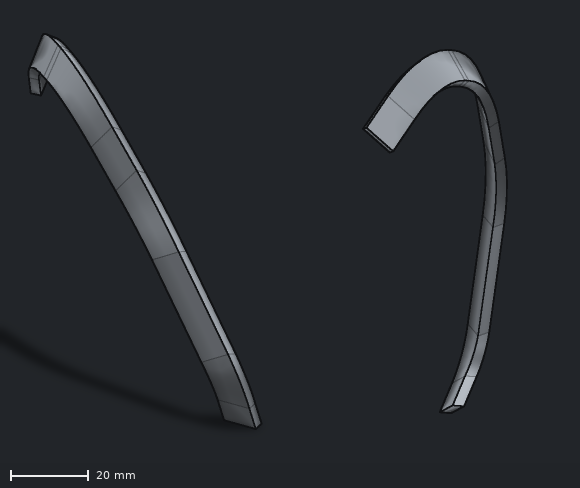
import cadquery as cq
import math


STRAP_WIDTH = 9.3
STRAP_THICKNESS = 3.2
PATH_DEPTH = 2.0

PATH_CORNERS = [
    cq.Vector(89.5, 8.1, 0),
    cq.Vector(89.45, 1.8, 14.8),
    cq.Vector(64.5, 4.8, 55.8),
    cq.Vector(34.1, 21.6, 77.0),
    cq.Vector(9.6, 45.6, 71.3),
    cq.Vector(2.0, 62.2, 49.2),
]
FOOT_BEND_RADIUS = 20.0
MAIN_BEND_RADIUS = 2 * FOOT_BEND_RADIUS
BEND_RADII = [FOOT_BEND_RADIUS] + 3 * [MAIN_BEND_RADIUS]
BEND_ROLLS = [4.2, 2.2, 1.4, 3.2]


def rotated(vector, axis, angle):
    """Turn a vector about an axis through the origin by an angle in radians."""
    unit = axis.normalized()
    along = unit * unit.dot(vector)
    across = vector - along
    return along + across * math.cos(angle) + unit.cross(vector) * math.sin(angle)


def section(center, offsets):
    return [center + offset for offset in offsets]


def bend_sections(corner, incoming, outgoing, radius, roll, offsets):
    """Return the start, middle and end sections of a bend, and the turned offsets."""
    axis = incoming.cross(outgoing).normalized()
    turn = incoming.getAngle(outgoing)
    setback = radius * math.tan(turn / 2)
    start = corner - incoming * setback
    bend_center = start + axis.cross(incoming) * radius

    sections = []
    for part in (0, 0.5, 1):
        center = bend_center + rotated(start - bend_center, axis, part * turn)
        direction = rotated(incoming, axis, part * turn)
        turned = [
            rotated(rotated(offset, axis, part * turn), direction, part * roll)
            for offset in offsets
        ]
        sections.append(section(center, turned))
    return sections, turned


def straight_edges(start, end):
    return [cq.Edge.makeLine(a, b) for a, b in zip(start, end)]


def bend_edges(start, middle, end):
    return [cq.Edge.makeThreePointArc(a, m, b) for a, m, b in zip(start, middle, end)]


def side_faces(long_edges):
    """Span ruled faces between neighbouring lengthwise edges."""
    neighbours = long_edges[1:] + long_edges[:1]
    return [cq.Face.makeRuledSurface(a, b) for a, b in zip(long_edges, neighbours)]


def end_face(corners):
    return cq.Face.makeFromWires(cq.Wire.makePolygon(corners, close=True))


def build_strap():
    directions = [(b - a).normalized() for a, b in zip(PATH_CORNERS, PATH_CORNERS[1:])]
    half_width = STRAP_WIDTH / 2
    outer_y = -PATH_DEPTH
    inner_y = outer_y + STRAP_THICKNESS
    offsets = [
        cq.Vector(-half_width, outer_y, 0),
        cq.Vector(half_width, outer_y, 0),
        cq.Vector(half_width, inner_y, 0),
        cq.Vector(-half_width, inner_y, 0),
    ]

    current = section(PATH_CORNERS[0], offsets)
    faces = [end_face(current)]
    bends = zip(PATH_CORNERS[1:-1], directions, directions[1:], BEND_RADII, BEND_ROLLS)
    for corner, incoming, outgoing, radius, roll in bends:
        (start, middle, end), offsets = bend_sections(
            corner, incoming, outgoing, radius, math.radians(roll), offsets
        )
        faces += side_faces(straight_edges(current, start))
        faces += side_faces(bend_edges(start, middle, end))
        current = end

    free_end = section(PATH_CORNERS[-1], offsets)
    faces += side_faces(straight_edges(current, free_end))
    faces.append(end_face(free_end))
    return cq.Solid.makeSolid(cq.Shell.makeShell(faces))


result = cq.Workplane("XY").newObject([build_strap()])